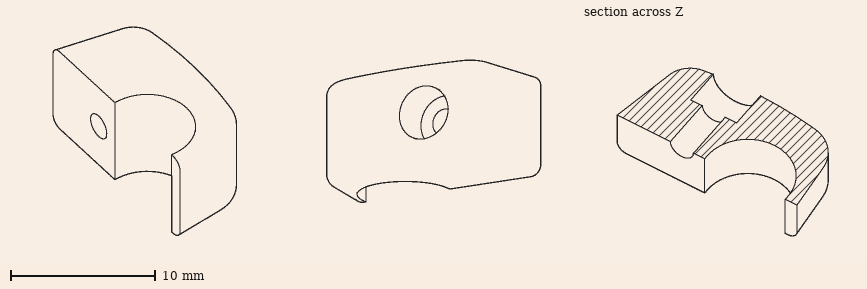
import cadquery as cq
import math

length = 15.0
height = 7.2
depth = 7.0
edge_radius = 0.8

left_lean = 10.0
right_lean = 4.9
crown_radius = 31.5
crown_x = 6.8
left_corner_radius = 2.0
right_corner_radius = 3.0

channel_radius = 3.35
channel_x = 10.65
channel_center_y = 0.36

hole_x = 5.4
hole_diameter = 1.9
head_diameter = 3.8
head_floor_y = 4.0


def side_x_at_depth(base_x, lean):
    """X of a leaning side at the full depth of the part."""
    return base_x + depth * math.tan(math.radians(lean))


def crown_y(x):
    """Y of the domed back at a given X."""
    return depth - crown_radius + math.sqrt(crown_radius**2 - (x - crown_x) ** 2)


def round_corner(body, x, radius):
    """Round the upright edge where a leaning side meets the domed back."""
    edge_middle = (x, crown_y(x), height / 2)
    return body.edges(cq.selectors.NearestToPointSelector(edge_middle)).fillet(radius)


def make_body():
    left_x = side_x_at_depth(0, left_lean)
    right_x = side_x_at_depth(length, -right_lean)
    body = (
        cq.Workplane("XY")
        .polyline([(left_x, crown_y(left_x)), (0, 0), (length, 0), (right_x, crown_y(right_x))])
        .threePointArc((crown_x, depth), (left_x, crown_y(left_x)))
        .close()
        .extrude(height)
    )
    body = round_corner(body, left_x, left_corner_radius)
    body = round_corner(body, right_x, right_corner_radius)
    rim = body.faces("<Z or >Z").edges("not(<Y)")
    return rim.fillet(edge_radius)


def make_channel():
    circle = cq.Workplane("XY").center(channel_x, channel_center_y).circle(channel_radius).extrude(height)
    mouth = cq.Workplane("XY").center(channel_x, 0).rect(2 * channel_radius, 2 * channel_center_y).extrude(height)
    return circle.union(mouth)


def make_bore(diameter, start_y):
    plane = cq.Workplane("XZ", origin=(hole_x, start_y, height / 2))
    return plane.circle(diameter / 2).extrude(-depth)


result = (
    make_body()
    .cut(make_channel())
    .cut(make_bore(hole_diameter, start_y=0))
    .cut(make_bore(head_diameter, head_floor_y))
)